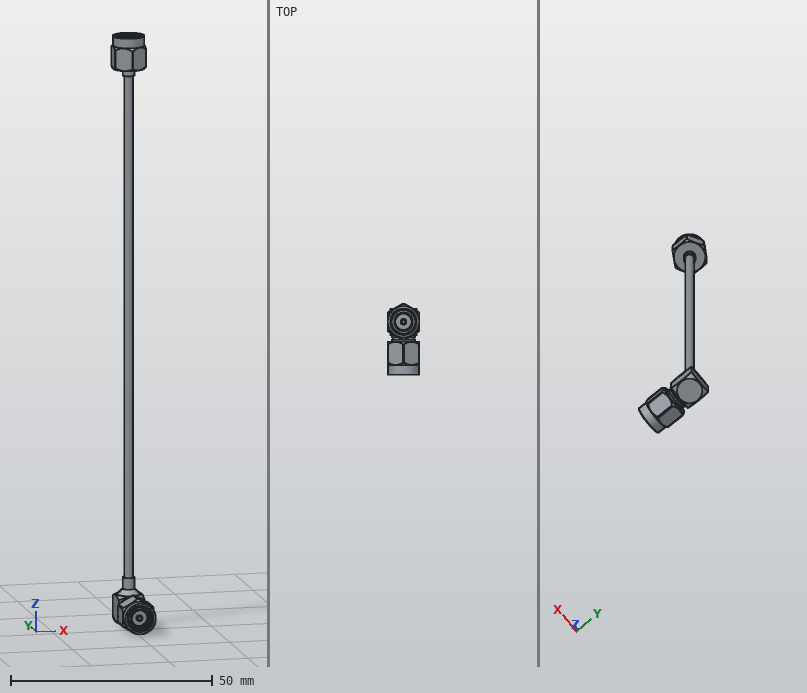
import cadquery as cq
import math

TOTAL_HEIGHT = 149.7
TOTAL_DEPTH = 17.7

NUT_SIDES = 6
NUT_FLATS = 8.0
NUT_CORNER_DIAMETER = 9.0
NUT_LENGTH = 8.2
COLLAR_LENGTH = 2.4
COLLAR_DIAMETER = 7.8

BORE_DIAMETER = 5.8
THREAD_DIAMETER = 6.3
MOUTH_DIAMETER = 6.6
MOUTH_DEPTH = 0.3
BORE_DEPTH = 4.5
THREAD_PITCH = 0.7
GROOVE_WIDTH = THREAD_PITCH / 2
GROOVE_COUNT = 4

SLEEVE_DIAMETER = 4.6
INSULATOR_DIAMETER = 4.0
PIN_DIAMETER = 1.45
PIN_TIP_DIAMETER = 0.95
SLEEVE_RECESS = 0.9
INSULATOR_RECESS = 1.5
PIN_RECESS = 0.7

CABLE_DIAMETER = 2.2
FERRULE_DIAMETER = 3.0
FERRULE_LENGTH = 1.8

BLOCK_WIDTH = 6.6
BLOCK_END_DIAMETER = 6.3
BLOCK_BEVEL_ANGLE = 30.0
BLOCK_BOTTOM = -3.3
BLOCK_TOP = 3.7
SEAT_DIAMETER = 5.8
SEAT_HEIGHT = 1.3
ELBOW_FERRULE_TOP = 8.0

NECK_DIAMETER = 5.8
NECK_GROOVE_DIAMETER = 5.4
NECK_GROOVE_WIDTH = 0.6

NUT_BACK = TOTAL_HEIGHT - NUT_CORNER_DIAMETER / 2 - NUT_LENGTH
STRAIGHT_FERRULE_BOTTOM = NUT_BACK - FERRULE_LENGTH
ELBOW_NUT_BACK = TOTAL_DEPTH - NUT_CORNER_DIAMETER / 2 - NUT_LENGTH
SEAT_TOP = BLOCK_TOP + SEAT_HEIGHT


def cylinder(diameter, start, end):
    """Cylinder along Z between two heights."""
    return cq.Workplane("XY").workplane(offset=start).circle(diameter / 2).extrude(end - start)


def cone(start_diameter, end_diameter, start, end):
    """Truncated cone along Z between two heights."""
    return cq.Workplane("XY").add(
        cq.Solid.makeCone(start_diameter / 2, end_diameter / 2, end - start, pnt=cq.Vector(0, 0, start))
    )


def hex_section(length):
    """Hexagon with flats on +X and -X, its corners turned down and both ends bevelled at 45 degrees."""
    half_side_angle = 180 / NUT_SIDES
    sharp_diameter = NUT_FLATS / math.cos(math.radians(half_side_angle))
    prism = cq.Workplane("XY").polygon(NUT_SIDES, sharp_diameter).extrude(length)
    prism = prism.rotate((0, 0, 0), (0, 0, 1), half_side_angle)
    bevel = (NUT_CORNER_DIAMETER - COLLAR_DIAMETER) / 2
    envelope = cylinder(NUT_CORNER_DIAMETER, 0, length).faces("<Z or >Z").chamfer(bevel)
    return prism.intersect(envelope)


def nut_bore():
    """Space inside the nut: plain bore with a stepped and chamfered mouth, and ring grooves."""
    floor = NUT_LENGTH - BORE_DEPTH
    bore = cylinder(BORE_DIAMETER, floor, NUT_LENGTH)
    mouth_floor = NUT_LENGTH - MOUTH_DEPTH
    lead_in = (THREAD_DIAMETER - BORE_DIAMETER) / 2
    bore = bore.union(cylinder(MOUTH_DIAMETER, mouth_floor, NUT_LENGTH))
    bore = bore.union(cone(BORE_DIAMETER, THREAD_DIAMETER, mouth_floor - lead_in, mouth_floor))
    for index in range(GROOVE_COUNT):
        groove_top = NUT_LENGTH - (index + 1) * THREAD_PITCH
        bore = bore.union(cylinder(THREAD_DIAMETER, groove_top - GROOVE_WIDTH, groove_top))
    return bore


def contact():
    """Sleeve, recessed insulator and centre pin, standing on the floor of the nut bore."""
    floor = NUT_LENGTH - BORE_DEPTH
    pin_top = NUT_LENGTH - PIN_RECESS
    tip_length = (PIN_DIAMETER - PIN_TIP_DIAMETER) / 2
    sleeve = cylinder(SLEEVE_DIAMETER, floor, NUT_LENGTH - SLEEVE_RECESS)
    sleeve = sleeve.cut(cylinder(INSULATOR_DIAMETER, NUT_LENGTH - INSULATOR_RECESS, NUT_LENGTH))
    pin = cylinder(PIN_DIAMETER, floor, pin_top - tip_length)
    tip = cone(PIN_DIAMETER, PIN_TIP_DIAMETER, pin_top - tip_length, pin_top)
    return sleeve.union(pin).union(tip)


def plug_head():
    """Coupling nut with its contact, back face at Z = 0 and open end up."""
    collar_start = NUT_LENGTH - COLLAR_LENGTH
    nut = hex_section(collar_start)
    nut = nut.union(cylinder(COLLAR_DIAMETER, collar_start, NUT_LENGTH))
    return nut.cut(nut_bore()).union(contact())


def make_cable():
    return cylinder(CABLE_DIAMETER, SEAT_TOP, NUT_BACK)


def make_straight_plug():
    head = plug_head().translate((0, 0, NUT_BACK))
    ferrule = cylinder(FERRULE_DIAMETER, STRAIGHT_FERRULE_BOTTOM, NUT_BACK)
    cable_hole = cylinder(CABLE_DIAMETER, STRAIGHT_FERRULE_BOTTOM, NUT_BACK)
    return head.union(ferrule).cut(cable_hole)


def elbow_block():
    """Square block with both ends turned to a shallow cone, which bevels their corners."""
    height = BLOCK_TOP - BLOCK_BOTTOM
    block = cq.Workplane("XY").workplane(offset=BLOCK_BOTTOM).rect(BLOCK_WIDTH, BLOCK_WIDTH).extrude(height)
    slope = math.tan(math.radians(BLOCK_BEVEL_ANGLE))
    wide_diameter = BLOCK_END_DIAMETER + 2 * height / slope
    top_cone = cone(wide_diameter, BLOCK_END_DIAMETER, BLOCK_BOTTOM, BLOCK_TOP)
    bottom_cone = cone(BLOCK_END_DIAMETER, wide_diameter, BLOCK_BOTTOM, BLOCK_TOP)
    return block.intersect(top_cone).intersect(bottom_cone)


def make_elbow_plug():
    block = elbow_block()
    seat = cone(SEAT_DIAMETER, FERRULE_DIAMETER, BLOCK_TOP, SEAT_TOP)
    ferrule = cylinder(FERRULE_DIAMETER, SEAT_TOP, ELBOW_FERRULE_TOP)
    cable_hole = cylinder(CABLE_DIAMETER, SEAT_TOP, ELBOW_FERRULE_TOP)

    groove_middle = (BLOCK_WIDTH / 2 + ELBOW_NUT_BACK) / 2
    groove_start = groove_middle - NECK_GROOVE_WIDTH / 2
    groove_end = groove_middle + NECK_GROOVE_WIDTH / 2
    neck = cylinder(NECK_DIAMETER, 0, groove_start)
    neck = neck.union(cylinder(NECK_GROOVE_DIAMETER, groove_start, groove_end))
    neck = neck.union(cylinder(NECK_DIAMETER, groove_end, ELBOW_NUT_BACK))
    head = plug_head().translate((0, 0, ELBOW_NUT_BACK)).union(neck)
    head = head.rotate((0, 0, 0), (1, 0, 0), 90)

    return block.union(seat).union(ferrule).union(head).cut(cable_hole)


cable = make_cable()
straight_plug = make_straight_plug()
elbow_plug = make_elbow_plug()

result = cq.Compound.makeCompound([cable.val(), straight_plug.val(), elbow_plug.val()])